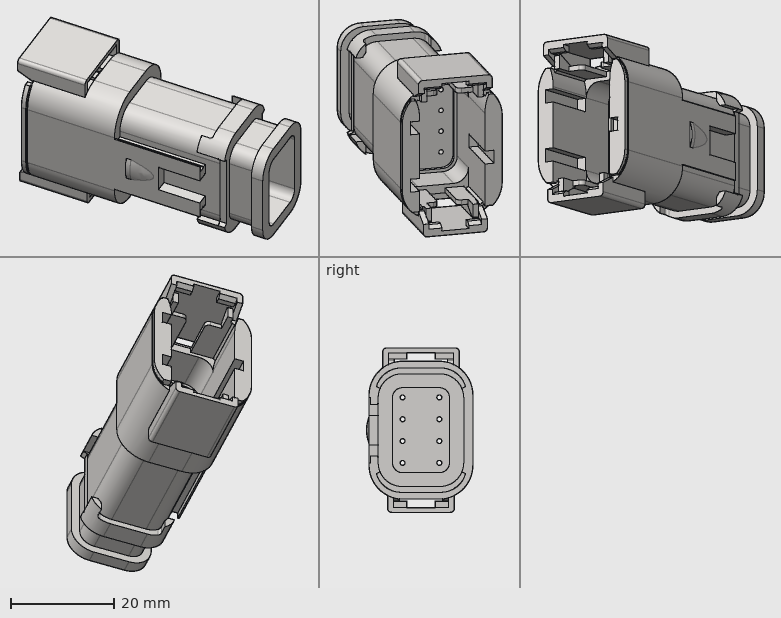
import cadquery as cq
import math

length = 53.4
flange_x = 2.15
groove_x = 3.1
shell_x = 3.4
tongue_notch_x = 5.5
slot_end_x = 13.3
cavity_end_x = 13.65
bracket_end_x = 14.6
pocket_end_x = 21.35
pocket_step_x = 22.15
shell_end_x = 22.25
clip_x = 39.35
cap_bar_x = 41.65
tube_end_x = 43.9
cap_rear_x = 45.35
lip_x = 50.95

shell_y, shell_z, shell_radius = 20.15 / 2, 13.35, 6.6
tube_y, tube_z, tube_radius = 7.7, 10.75, 4.1
groove_depth = 0.2
flange_top_z, flange_bottom_z = 11.2, -11.35
cavity_y, cavity_z = 6.55, 10.85
lead_in_z, lead_in_radius = 7.4, 10.0
lead_in_chamfer = 0.4
channel_y, channel_z = 5.65, 11.4
channel_chamfer_y, channel_chamfer_z = 0.6, 0.55
pocket_step, pocket_step_radius = 0.65, 2.3
pocket_y, pocket_z, pocket_radius = cavity_y, 10.1, pocket_step_radius + pocket_step

contact_diameter = 0.9
contact_pitch_y, contact_pitch_z = 7.1, 4.2
contact_columns, contact_rows = 2, 4

key_slots = [(1, 5.7), (1, -5.9), (-1, -1.55)]
key_height, key_depth = 2.6, 1.8

tongue_z = 11.85
bracket_z = 31.8 / 2
bracket_plate_z = 14.95
bracket_wall = 1.2
bracket_radius = 0.8
upper_bracket_y, lower_bracket_y = 7.4, 6.45
leg_front_z = 13.3
tongue_gap_y = 1.9
tongue_corner = 0.9
post_width = 1.1
lug_y = 2.7

panel_end_x = 40.7
panel_z, panel_thickness = 6.35, 0.3
rib_z = 4.95
rib_base_y, rib_base_z = 8.4, 5.2
fork_x, fork_z = 31.75, 2.85

bump_x, bump_ramp_x, bump_end_x = 24.8, 25.85, 30.7
bump_z, bump_height = 2.5, 0.5

collar_y, collar_z, collar_radius = 8.8, 12.0, 4.95
clip_y, clip_z, clip_corner = 6.55, 8.5, 0.55
strip_y, strip_z = 7.75, 8.0
neck_y, neck_z, neck_radius = 6.55, 9.3, 3.0
lip_y, lip_z, lip_radius = 8.3, 10.9, 4.65
cap_wall = 1.05


def rounded_bar(x0, x1, half_y, half_z, radius):
    """Bar along X with a rounded rectangular section centred on the X axis."""
    bar = cq.Workplane("YZ", origin=(x0, 0, 0)).rect(2 * half_y, 2 * half_z).extrude(x1 - x0)
    return bar.edges("|X").fillet(radius)


def block(x0, x1, y0, y1, z0, z1):
    """Box between two opposite corners."""
    return cq.Workplane().box(x1 - x0, y1 - y0, z1 - z0, centered=False).translate((x0, y0, z0))


def side_profile(points, y0, y1):
    """Solid from an outline of (x, z) points, running from y0 to y1."""
    return cq.Workplane("XZ", origin=(0, y1, 0)).polyline(points).close().extrude(y1 - y0)


def front_shell():
    """Solid main shell with a flange in front of each side wall."""
    groove_rim = (shell_y - groove_depth, shell_z - groove_depth, shell_radius - groove_depth)
    flanges = rounded_bar(flange_x, groove_x, shell_y, shell_z, shell_radius)
    flanges = flanges.union(rounded_bar(groove_x, shell_x, *groove_rim))
    flanges = flanges.intersect(block(flange_x, shell_x, -shell_y, shell_y, flange_bottom_z, flange_top_z))
    flanges = flanges.cut(block(flange_x, shell_x, -cavity_y, cavity_y, flange_bottom_z, flange_top_z))
    shell = rounded_bar(shell_x, shell_end_x, shell_y, shell_z, shell_radius)
    return shell.union(flanges.cut(lead_ins(shell_x, flange_top_z, flange_top_z)))


def lead_ins(end_x, arc_top_z, peak_z):
    """Curved clearance along the upper part of both side walls, closed by a slope up to peak_z."""
    rise = arc_top_z - lead_in_z
    half_angle = math.asin(rise / lead_in_radius) / 2

    def arc_point(angle):
        y = cavity_y + lead_in_radius * (1 - math.cos(angle))
        return (y, lead_in_z + lead_in_radius * math.sin(angle))

    cutter = (
        cq.Workplane("YZ", origin=(flange_x, 0, 0))
        .moveTo(cavity_y, lead_in_z)
        .threePointArc(arc_point(half_angle), arc_point(2 * half_angle))
        .lineTo(cavity_y, peak_z)
        .close()
        .extrude(end_x - flange_x)
    )
    return cutter.union(cutter.mirror("XZ"))


def cavity():
    """Mating cavity with relieved corners, its stepped pocket and the key slots."""
    half_outline = [
        (channel_y, -cavity_z),
        (channel_y, -channel_z),
        (cavity_y - channel_chamfer_y, -channel_z),
        (cavity_y, channel_chamfer_z - channel_z),
        (cavity_y, cavity_z),
    ]
    outline = half_outline + [(-y, z) for y, z in reversed(half_outline)]
    hollow = cq.Workplane("YZ", origin=(flange_x, 0, 0)).polyline(outline).close()
    hollow = hollow.extrude(cavity_end_x - flange_x)
    hollow = hollow.union(lead_ins(cavity_end_x, cavity_z - lead_in_chamfer, cavity_z))
    hollow = hollow.union(rounded_bar(cavity_end_x, pocket_end_x, pocket_y, pocket_z, pocket_radius))
    inner = (pocket_y - pocket_step, pocket_z - pocket_step, pocket_step_radius)
    hollow = hollow.union(rounded_bar(pocket_end_x, pocket_step_x, *inner))
    for side, middle_z in key_slots:
        y0, y1 = sorted((side * cavity_y, side * (cavity_y + key_depth)))
        slot = block(flange_x, slot_end_x, y0, y1, middle_z - key_height / 2, middle_z + key_height / 2)
        hollow = hollow.union(slot)
    return hollow


def tongue_slit(post_inner_y):
    """Slit that splits the upper tongue, wide at the front."""
    wide = block(flange_x, tongue_notch_x, -post_inner_y, post_inner_y, cavity_z, tongue_z)
    narrow = block(flange_x, cavity_end_x, -tongue_gap_y, tongue_gap_y, cavity_z, tongue_z)
    slit = wide.union(narrow)
    margin = tongue_corner / 10
    around_corners = cq.selectors.BoxSelector(
        (tongue_notch_x - margin, -tongue_gap_y - margin, cavity_z),
        (tongue_notch_x + margin, tongue_gap_y + margin, tongue_z),
    )
    return slit.edges(around_corners).fillet(tongue_corner)


def latch_posts(outer_y):
    """Pair of wedge-shaped posts on the front of the upper tongue."""
    tip_z, tip_chamfer = 13.8, 0.3
    ramp_start_x, ramp_end_x = 3.15, 6.35
    profile = [
        (flange_x, cavity_z),
        (flange_x, tip_z - tip_chamfer),
        (flange_x + tip_chamfer, tip_z),
        (ramp_start_x, tip_z - tip_chamfer),
        (ramp_end_x, tongue_z),
        (tongue_notch_x, cavity_z),
    ]
    post = side_profile(profile, outer_y - post_width, outer_y)
    return post.union(post.mirror("XZ"))


def bracket(outer_y):
    """Upper latch bracket: a plate on two legs with a stop lug inside each front corner."""
    inner_y = outer_y - bracket_wall
    leg_root_z = 11.7
    profile = [
        (0, bracket_z),
        (bracket_end_x, bracket_z),
        (bracket_end_x, leg_root_z),
        (shell_x, leg_root_z),
        (0, leg_front_z),
    ]
    frame = side_profile(profile, -outer_y, outer_y)
    frame = frame.faces(">Z").edges("|X").fillet(bracket_radius)
    frame = frame.cut(block(0, bracket_end_x, -inner_y, inner_y, leg_root_z, bracket_plate_z))
    lug_front_z, lug_tip_z = 14.35, 13.7
    lug_ramp_x, lug_end_x = 0.9, 1.9
    lug_profile = [
        (0, bracket_plate_z),
        (0, lug_front_z),
        (lug_ramp_x, lug_tip_z),
        (lug_end_x, lug_tip_z),
        (lug_end_x, bracket_plate_z),
    ]
    lug = side_profile(lug_profile, lug_y, inner_y)
    return frame.union(lug).union(lug.mirror("XZ"))


def add_latch(shell, bracket_y, flip):
    """Adds a tongue with posts and its bracket to the top of the shell, or to the bottom if flipped."""
    inner_y = bracket_y - bracket_wall
    window = block(shell_x, bracket_end_x, -inner_y, inner_y, tongue_z, bracket_z)
    slit = tongue_slit(inner_y - post_width)
    added = latch_posts(inner_y).union(bracket(bracket_y))
    if flip:
        window, slit, added = [body.mirror("XY") for body in (window, slit, added)]
    return shell.cut(window).cut(slit).union(added)


def latch_panel():
    """Forked panel standing off the -Y side of the tube on a rib."""
    plate = block(shell_end_x, panel_end_x, -shell_y, panel_thickness - shell_y, -panel_z, panel_z)
    rib = block(shell_end_x, panel_end_x, -shell_y, -tube_y, -rib_z, rib_z)
    base = block(shell_end_x, panel_end_x, -rib_base_y, -tube_y, -rib_base_z, rib_base_z)
    fork = block(fork_x, panel_end_x, -shell_y, -tube_y, -fork_z, fork_z)
    return plate.union(rib).union(base).cut(fork)


def thumb_bump():
    """Low crowned bump on the panel that slopes down to a rounded tip."""
    radius = (bump_z**2 + bump_height**2) / (2 * bump_height)
    axis_y = radius - shell_y - bump_height
    circle = cq.Wire.makeCircle(radius, cq.Vector(bump_ramp_x, axis_y, 0), cq.Vector(1, 0, 0))
    flat = cq.Solid.extrudeLinear(circle, [], cq.Vector(bump_x - bump_ramp_x, 0, 0))
    ramp = cq.Solid.extrudeLinear(circle, [], cq.Vector(bump_end_x - bump_ramp_x, bump_height, 0))
    proud = block(bump_x, bump_end_x, -shell_y - bump_height, -shell_y, -bump_z, bump_z)
    return proud.intersect(cq.Workplane(flat).union(cq.Workplane(ramp)))


def contact_holes():
    """Contact holes from the inner pocket to the rear of the housing."""
    return (
        cq.Workplane("YZ", origin=(pocket_step_x, 0, 0))
        .rarray(contact_pitch_y, contact_pitch_z, contact_columns, contact_rows)
        .circle(contact_diameter / 2)
        .extrude(tube_end_x - pocket_step_x)
    )


def make_housing():
    """Housing: shell and tube with the cavity, two latches, the panel and the contact holes."""
    shell = front_shell()
    shell = shell.union(rounded_bar(shell_end_x, tube_end_x, tube_y, tube_z, tube_radius))
    shell = shell.cut(cavity())
    shell = add_latch(shell, upper_bracket_y, flip=False)
    shell = add_latch(shell, lower_bracket_y, flip=True)
    shell = shell.union(latch_panel()).union(thumb_bump())
    return shell.cut(contact_holes())


def make_cap():
    """Rear cap: clips over the tube corners, base plate, neck and lip, open along its axis."""
    cap = rounded_bar(clip_x, cap_rear_x, collar_y, collar_z, collar_radius)
    cap = cap.cut(rounded_bar(clip_x, tube_end_x, tube_y, tube_z, tube_radius))
    bar_relief = block(clip_x, cap_bar_x, -clip_y, clip_y, -collar_z, collar_z)
    cap = cap.cut(bar_relief.edges("|Z and >X").fillet(clip_corner))
    cap = cap.cut(block(clip_x, tube_end_x, -collar_y, collar_y, -clip_z, clip_z))
    side_relief = (
        cq.Workplane("YZ", origin=(tube_end_x, 0, 0))
        .polyline([(strip_y, -strip_z), (collar_y, -clip_z), (collar_y, clip_z), (strip_y, strip_z)])
        .close()
        .extrude(cap_rear_x - tube_end_x)
    )
    cap = cap.cut(side_relief).cut(side_relief.mirror("XZ"))
    cap = cap.union(rounded_bar(cap_rear_x, lip_x, neck_y, neck_z, neck_radius))
    cap = cap.union(rounded_bar(lip_x, length, lip_y, lip_z, lip_radius))
    opening = (neck_y - cap_wall, neck_z - cap_wall, neck_radius - cap_wall)
    return cap.cut(rounded_bar(tube_end_x, length, *opening))


housing = make_housing()
cap = make_cap()
result = cq.Compound.makeCompound([housing.val(), cap.val()])